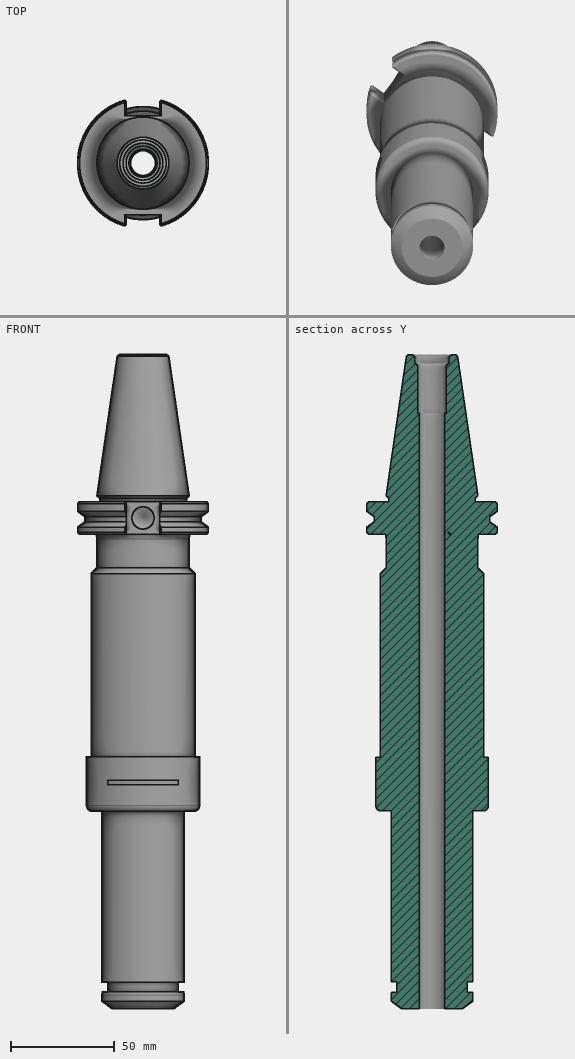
import cadquery as cq
import math

TOTAL_LENGTH = 316.2
GAUGE_Z = 248.0
FLANGE_TOP_Z = 245.0
FLANGE_HEIGHT = 15.8
FLARE_HEIGHT = 2.2
SHOULDER_TOP_Z = 213.0
NUT_TOP_Z = 121.8
NUT_BOTTOM_Z = 95.5
RING_GROOVE_TOP_Z = 13.0
RING_GROOVE_BOTTOM_Z = 8.2

NOSE_DIAMETER = 25.0
GAUGE_DIAMETER = 44.5
RELIEF_DIAMETER = 42.0
FLANGE_DIAMETER = 63.2
V_GROOVE_DIAMETER = 56.3
FLARE_DIAMETER = 45.2
NECK_DIAMETER = 44.5
BODY_DIAMETER = 50.3
NUT_DIAMETER = 54.7
SHANK_DIAMETER = 40.0
RING_GROOVE_DIAMETER = 34.0
TIP_DIAMETER = 29.5

NOSE_CHAMFER = 1.3
NOSE_CHAMFER_HEIGHT = 1.0
FLANGE_CHAMFER = 1.0
NUT_FILLET = 3.0
TIP_CHAMFER_HEIGHT = 3.8
RING_CHAMFER = 0.3
RING_CHAMFER_HEIGHT = 1.3

V_GROOVE_OFFSET = 8.5
V_GROOVE_FLOOR = 2.5
V_GROOVE_MOUTH = 7.5

BORE_DIAMETER = 12.0
THREAD_DIAMETER = 13.5
THREAD_DEPTH = 28.5
ENTRY_DIAMETER = 16.5
ENTRY_DEPTH = 4.0
ENTRY_CONE_HEIGHT = 1.3
ENTRY_MOUTH_DIAMETER = 19.3
ENTRY_MOUTH_DEPTH = 1.0

SLOT_WIDTH = 16.0
SLOT_EDGE_CHAMFER = 0.8
FRONT_SLOT_FLOOR = 25.0
BACK_SLOT_FLOOR = 22.8
DIMPLE_DIAMETER = 10.8
DIMPLE_DEPTH = 3.2

MARK_WIDTH = 34.0
MARK_HEIGHT = 2.2
MARK_DEPTH = 0.3
MARK_Z = 109.5

FLANGE_BOTTOM_Z = FLANGE_TOP_Z - FLANGE_HEIGHT
FLANGE_MID_Z = FLANGE_TOP_Z - FLANGE_HEIGHT / 2
FLANGE_RADIUS = FLANGE_DIAMETER / 2


def holder_body():
    """Outer shape of the holder, revolved about Z."""
    shoulder_height = (BODY_DIAMETER - NECK_DIAMETER) / 2
    flare_bottom = FLANGE_BOTTOM_Z - FLARE_HEIGHT
    groove_z = FLANGE_TOP_Z - V_GROOVE_OFFSET
    nut_radius = NUT_DIAMETER / 2
    arc_offset = NUT_FILLET * (1 - math.sqrt(0.5))
    profile = (
        cq.Workplane("XZ")
        .moveTo(0, 0)
        .lineTo(TIP_DIAMETER / 2, 0)
        .lineTo(SHANK_DIAMETER / 2, TIP_CHAMFER_HEIGHT)
        .lineTo(SHANK_DIAMETER / 2, RING_GROOVE_BOTTOM_Z - RING_CHAMFER_HEIGHT)
        .lineTo(SHANK_DIAMETER / 2 - RING_CHAMFER, RING_GROOVE_BOTTOM_Z)
        .lineTo(RING_GROOVE_DIAMETER / 2, RING_GROOVE_BOTTOM_Z)
        .lineTo(RING_GROOVE_DIAMETER / 2, RING_GROOVE_TOP_Z)
        .lineTo(SHANK_DIAMETER / 2, RING_GROOVE_TOP_Z)
        .lineTo(SHANK_DIAMETER / 2, NUT_BOTTOM_Z)
        .lineTo(nut_radius - NUT_FILLET, NUT_BOTTOM_Z)
        .threePointArc(
            (nut_radius - arc_offset, NUT_BOTTOM_Z + arc_offset),
            (nut_radius, NUT_BOTTOM_Z + NUT_FILLET),
        )
        .lineTo(nut_radius, NUT_TOP_Z)
        .lineTo(BODY_DIAMETER / 2, NUT_TOP_Z)
        .lineTo(BODY_DIAMETER / 2, SHOULDER_TOP_Z - shoulder_height)
        .lineTo(NECK_DIAMETER / 2, SHOULDER_TOP_Z)
        .lineTo(NECK_DIAMETER / 2, flare_bottom)
        .lineTo(FLARE_DIAMETER / 2, FLANGE_BOTTOM_Z)
        .lineTo(FLANGE_RADIUS - FLANGE_CHAMFER, FLANGE_BOTTOM_Z)
        .lineTo(FLANGE_RADIUS, FLANGE_BOTTOM_Z + FLANGE_CHAMFER)
        .lineTo(FLANGE_RADIUS, groove_z - V_GROOVE_MOUTH / 2)
        .lineTo(V_GROOVE_DIAMETER / 2, groove_z - V_GROOVE_FLOOR / 2)
        .lineTo(V_GROOVE_DIAMETER / 2, groove_z + V_GROOVE_FLOOR / 2)
        .lineTo(FLANGE_RADIUS, groove_z + V_GROOVE_MOUTH / 2)
        .lineTo(FLANGE_RADIUS, FLANGE_TOP_Z - FLANGE_CHAMFER)
        .lineTo(FLANGE_RADIUS - FLANGE_CHAMFER, FLANGE_TOP_Z)
        .lineTo(RELIEF_DIAMETER / 2, FLANGE_TOP_Z)
        .lineTo(RELIEF_DIAMETER / 2, GAUGE_Z - (GAUGE_DIAMETER - RELIEF_DIAMETER) / 2)
        .lineTo(GAUGE_DIAMETER / 2, GAUGE_Z)
        .lineTo(NOSE_DIAMETER / 2, TOTAL_LENGTH - NOSE_CHAMFER_HEIGHT)
        .lineTo(NOSE_DIAMETER / 2 - NOSE_CHAMFER, TOTAL_LENGTH)
        .lineTo(0, TOTAL_LENGTH)
        .close()
    )
    return profile.revolve(360, (0, 0, 0), (0, 1, 0))


def bore():
    """Through bore with a chamfered entry and a conical step."""
    entry_bottom = TOTAL_LENGTH - ENTRY_DEPTH
    profile = (
        cq.Workplane("XZ")
        .moveTo(0, 0)
        .lineTo(BORE_DIAMETER / 2, 0)
        .lineTo(BORE_DIAMETER / 2, TOTAL_LENGTH - THREAD_DEPTH)
        .lineTo(THREAD_DIAMETER / 2, TOTAL_LENGTH - THREAD_DEPTH)
        .lineTo(THREAD_DIAMETER / 2, entry_bottom - ENTRY_CONE_HEIGHT)
        .lineTo(ENTRY_DIAMETER / 2, entry_bottom)
        .lineTo(ENTRY_DIAMETER / 2, TOTAL_LENGTH - ENTRY_MOUTH_DEPTH)
        .lineTo(ENTRY_MOUTH_DIAMETER / 2, TOTAL_LENGTH)
        .lineTo(0, TOTAL_LENGTH)
        .close()
    )
    return profile.revolve(360, (0, 0, 0), (0, 1, 0))


def drive_slot(floor, side):
    """Slot through the flange rim on one side (side = -1 or +1 along Y), with bevelled wall edges."""
    half_width = SLOT_WIDTH / 2
    mouth_half = half_width + SLOT_EDGE_CHAMFER
    half_height = FLANGE_HEIGHT / 2
    wall_half = half_height - SLOT_EDGE_CHAMFER
    channel = (
        cq.Workplane("XZ", origin=(0, side * floor, FLANGE_MID_Z))
        .moveTo(-mouth_half, -half_height)
        .lineTo(mouth_half, -half_height)
        .lineTo(half_width, -wall_half)
        .lineTo(half_width, wall_half)
        .lineTo(mouth_half, half_height)
        .lineTo(-mouth_half, half_height)
        .lineTo(-half_width, wall_half)
        .lineTo(-half_width, -wall_half)
        .close()
        .extrude(-side * FLANGE_RADIUS)
    )
    rim_y = math.sqrt(FLANGE_RADIUS**2 - mouth_half**2)
    mouth = (
        cq.Workplane("XY", origin=(0, 0, FLANGE_BOTTOM_Z))
        .moveTo(-half_width, side * (rim_y - SLOT_EDGE_CHAMFER))
        .lineTo(-mouth_half, side * rim_y)
        .lineTo(-mouth_half, side * FLANGE_DIAMETER)
        .lineTo(mouth_half, side * FLANGE_DIAMETER)
        .lineTo(mouth_half, side * rim_y)
        .lineTo(half_width, side * (rim_y - SLOT_EDGE_CHAMFER))
        .close()
        .extrude(FLANGE_HEIGHT)
    )
    return channel.union(mouth)


def dimple():
    """Conical dimple in the floor of the -Y slot."""
    cone = cq.Solid.makeCone(
        DIMPLE_DIAMETER / 2,
        0,
        DIMPLE_DEPTH,
        pnt=cq.Vector(0, -FRONT_SLOT_FLOOR, FLANGE_MID_Z),
        dir=cq.Vector(0, 1, 0),
    )
    return cq.Workplane(cone)


def nut_mark():
    """Shallow curved recess on the -Y side of the nut."""
    ring = (
        cq.Workplane("XY", origin=(0, 0, MARK_Z - MARK_HEIGHT / 2))
        .circle(NUT_DIAMETER)
        .circle(NUT_DIAMETER / 2 - MARK_DEPTH)
        .extrude(MARK_HEIGHT)
    )
    window = cq.Workplane("XY", origin=(0, -NUT_DIAMETER / 2, MARK_Z)).box(
        MARK_WIDTH, NUT_DIAMETER, MARK_HEIGHT
    )
    return ring.intersect(window)


result = (
    holder_body()
    .cut(bore())
    .cut(drive_slot(FRONT_SLOT_FLOOR, -1))
    .cut(drive_slot(BACK_SLOT_FLOOR, 1))
    .cut(dimple())
    .cut(nut_mark())
)